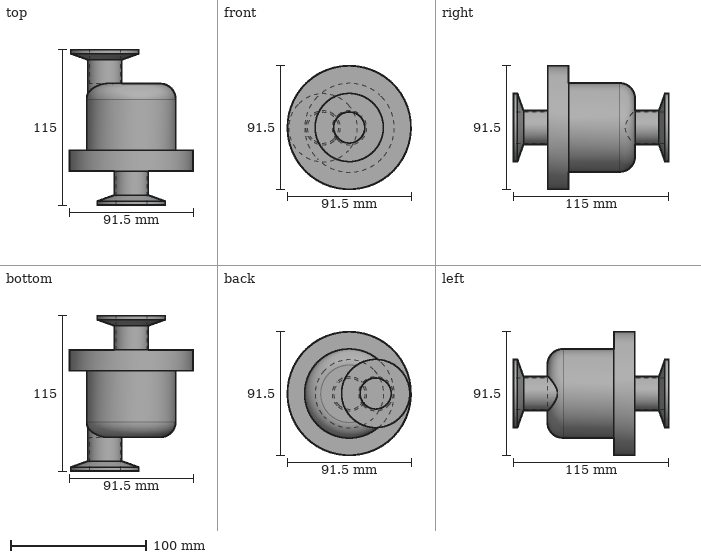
import cadquery as cq

overall_length = 115.0
front_y = -overall_length / 2
back_y = overall_length / 2

flange_diameter = 91.5
flange_thickness = 15.5
inlet_length = 25.3
flange_front_y = front_y + inlet_length
flange_back_y = flange_front_y + flange_thickness
body_diameter = 66.0
body_back_y = 32.5
dome_radius = 11.7

tube_diameter = 25.4
bore_diameter = 23.0
ferrule_diameter = 50.5
ferrule_rim = 3.0
ferrule_cone = 4.5
outlet_offset_x = -19.5


def rod(diameter, start_y, end_y, x=0.0):
    """Solid cylinder along Y between two stations."""
    start = cq.Vector(x, start_y, 0)
    return cq.Workplane(cq.Solid.makeCylinder(diameter / 2, end_y - start_y, start, cq.Vector(0, 1, 0)))


def connection(x, end_y, root_y):
    """Solid tube from root_y to a ferrule whose flat face is at end_y."""
    inward = 1 if root_y > end_y else -1
    rim_y = end_y + inward * ferrule_rim
    cone_y = rim_y + inward * ferrule_cone
    profile = [
        (x, end_y),
        (x + ferrule_diameter / 2, end_y),
        (x + ferrule_diameter / 2, rim_y),
        (x + tube_diameter / 2, cone_y),
        (x + tube_diameter / 2, root_y),
        (x, root_y),
    ]
    return cq.Workplane("XY").polyline(profile).close().revolve(360, (x, 0), (x, 1))


flange = rod(flange_diameter, flange_front_y, flange_back_y)
body = rod(body_diameter, flange_back_y, body_back_y).faces(">Y").edges().fillet(dome_radius)

inlet = connection(0.0, front_y, flange_front_y)
outlet = connection(outlet_offset_x, back_y, flange_back_y)
outer = flange.union(body).union(inlet).union(outlet)

inlet_bore = rod(bore_diameter, front_y, flange_front_y)
outlet_bore = rod(bore_diameter, body_back_y, back_y, outlet_offset_x)

result = outer.cut(inlet_bore).cut(outlet_bore)